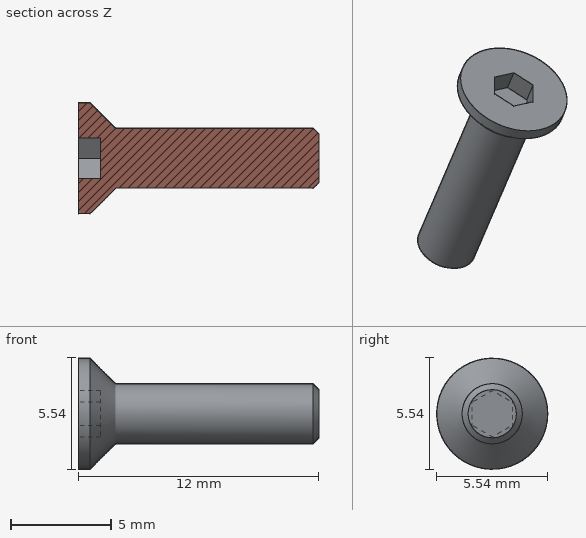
import cadquery as cq
import math

total_length = 12.0
shank_diameter = 3.0
head_diameter = 5.54
head_height = 1.86
tip_chamfer = 0.3
neck_fillet = 0.1
cone_half_angle = math.radians(45)
socket_across_flats = 2.0
socket_depth = 1.1

shank_radius = shank_diameter / 2
head_radius = head_diameter / 2
cone_length = (head_radius - shank_radius) / math.tan(cone_half_angle)
rim_thickness = head_height - cone_length


def screw_body():
    """Revolve the head, cone and chamfered shank about the X axis."""
    half_turn = cone_half_angle / 2
    tangent = neck_fillet * math.tan(half_turn)
    tangent_run = tangent * math.cos(cone_half_angle)
    tangent_rise = tangent * math.sin(cone_half_angle)
    arc_end_x = head_height + tangent
    arc_mid = (
        arc_end_x - neck_fillet * math.sin(half_turn),
        shank_radius + neck_fillet * (1 - math.cos(half_turn)),
    )
    profile = (
        cq.Workplane("XY")
        .moveTo(0, 0)
        .lineTo(0, head_radius)
        .lineTo(rim_thickness, head_radius)
        .lineTo(head_height - tangent_run, shank_radius + tangent_rise)
        .threePointArc(arc_mid, (arc_end_x, shank_radius))
        .lineTo(total_length - tip_chamfer, shank_radius)
        .lineTo(total_length, shank_radius - tip_chamfer)
        .lineTo(total_length, 0)
        .close()
    )
    return profile.revolve(360, (0, 0, 0), (1, 0, 0))


def hex_socket():
    """Flat-bottomed hexagonal socket with two corners on the Z axis."""
    across_corners = socket_across_flats / math.cos(math.radians(30))
    return (
        cq.Workplane("YZ")
        .transformed(rotate=(0, 0, 90))
        .polygon(6, across_corners)
        .extrude(socket_depth)
    )


result = screw_body().cut(hex_socket())